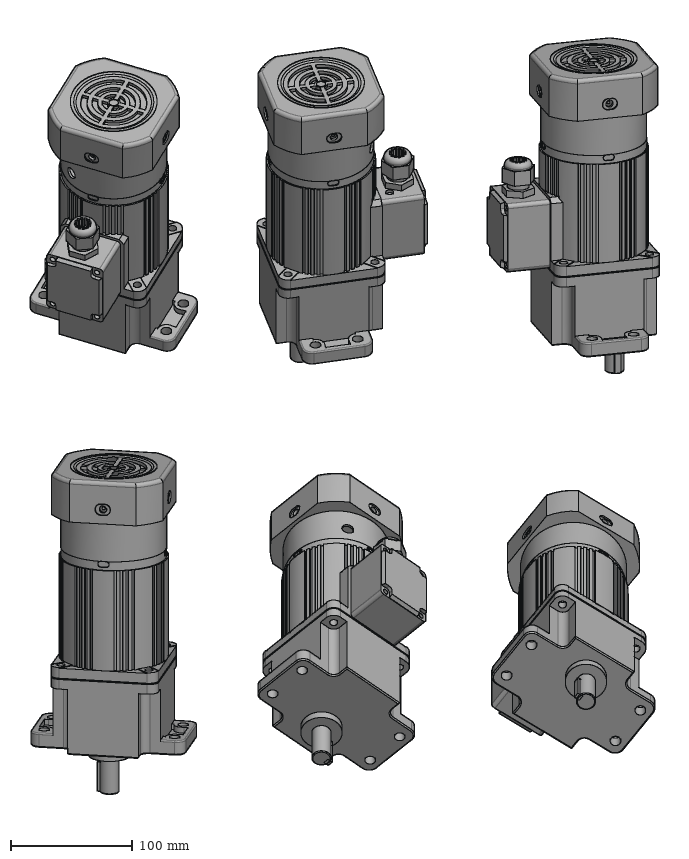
import cadquery as cq
import math


shaft_tip_z = -38.2
boss_bottom_z = -7.0
ear_top_z = 12.5
cover_bottom_z = 56.0
joint_z = 65.0
flange_top_z = 74.0
barrel_top_z = 160.0
neck_joint_z = 167.5
cap_bottom_z = 200.8
cap_top_z = 236.8

frame_half = 45.0
frame_corner_radius = 8.2
bolt_offset = 36.8
bolt_hole_radius = 3.3
joint_chamfer = 0.5
ear_edge_fillet = 1.0
mounting_face_chamfer = 1.0

notch_inner = 29.7
notch_fillet = 6.5
ear_length = 130.0
ear_corner_radius = 8.2
ear_hole_x = 54.7
ear_hole_y = 18.0
ear_hole_radius = 4.5
ear_pocket_end_x = 60.2
ear_pocket_half_width = 10.5
ear_pocket_depth = 5.0
ear_boss_radius = 7.7

shaft_y = 18.0
boss_radius = 17.0
shaft_radius = 8.0
shaft_chamfer = 0.8
shaft_seat_z = 12.5
key_width = 5.0
key_outer_x = 10.0
key_seat_x = 5.0
key_top_z = -12.5
key_bottom_z = shaft_tip_z + shaft_chamfer

neck_radius = 43.7
groove_width = 2.2
groove_depth = 1.6
groove_first_angle = 13.0
groove_pitch_angle = 6.4
grooves_per_group = 4
pad_height = 0.5
latch_width = 9.4
latch_height = 5.0
latch_depth = 1.0
box_seat_half_width = 28.3
box_seat_top_z = 128.2
box_seat_chamfer = 4.0

cap_half = 46.8
cap_corner_radius = 54.5
cap_fillet = 3.3
rim_radius = 35.8
rim_depth = 0.5
dish_top_radius = 33.0
dish_floor_radius = 31.0
dish_depth = 1.5
grille_rings = [(5.2, 9.5), (13.2, 18.0), (22.0, 27.2)]
grille_bar_width = 3.8
grille_depth = 2.8
roof_thickness = 5.5
cover_wall = 2.0
hub_radius = 3.8
hub_depth = 0.5
screw_z = 212.8
screw_recess_width = 12.6
screw_recess_height = 9.5
screw_recess_depth = 1.5
screw_bore_radius = 3.0
screw_bore_depth = 4.0
screw_hole_radius = 1.5
sight_hole_angle = 240.0
sight_hole_z = 180.0
sight_hole_radius = 5.0

box_half_width = 25.3
box_bottom_z = 66.0
box_top_z = 125.7
box_mid_z = (box_bottom_z + box_top_z) / 2
box_front_y = -81.5
overall_depth = 131.5
lid_front_y = cap_half - overall_depth
lid_thickness = box_front_y - lid_front_y
box_fillet = 3.3
lid_inset = 0.5
lid_taper = 1.6
lid_screw_x = 19.8
lid_screw_dz = 25.0
lid_screw_radius = 2.35
lid_screw_depth = 4.0
lid_notch_size = 9.5
lid_notch_radius = 3.3
drain_x = -13.2
drain_y = -55.0
drain_radius = 3.3
drain_depth = 2.8

gland_y = -65.0
gland_flats = 24.0
gland_base_top_z = 131.5
gland_neck_radius = 9.0
nut_bottom_z = 136.5
nut_top_z = 149.0
dome_top_z = 154.8
dome_radius = 11.5
dome_fillet = 4.5
gland_bore_radius = 5.2
gland_bore_depth = 8.2
gland_teeth = 12
gland_tooth_gap_radius = 0.95
gland_tooth_gap_pitch_radius = 6.0


def cylinder(radius, bottom, top, x=0, y=0):
    """Upright cylinder between two levels."""
    return cq.Workplane("XY", origin=(x, y, bottom)).circle(radius).extrude(top - bottom)


def block(x0, x1, y0, y1, z0, z1):
    """Box between two opposite corners."""
    return cq.Workplane("XY").box(x1 - x0, y1 - y0, z1 - z0, centered=False).translate((x0, y0, z0))


def frame_plate(bottom, top):
    """Square plate with rounded corners."""
    plate = cq.Workplane("XY", origin=(0, 0, bottom)).rect(2 * frame_half, 2 * frame_half)
    return plate.extrude(top - bottom).edges("|Z").fillet(frame_corner_radius)


def bolt_holes(bottom, top):
    """Cutter for the four corner bolt holes."""
    corners = cq.Workplane("XY", origin=(0, 0, bottom))
    corners = corners.rect(2 * bolt_offset, 2 * bolt_offset, forConstruction=True)
    return corners.vertices().circle(bolt_hole_radius).extrude(top - bottom)


def corner_notches():
    """Cutter for the four corners below the gearbox cover; the inner edge of each is rounded."""
    size = 2 * (frame_half - notch_inner)
    centres = [(sx * frame_half, sy * frame_half) for sx in (-1, 1) for sy in (-1, 1)]
    notches = cq.Workplane("XY").pushPoints(centres).rect(size, size).extrude(cover_bottom_z)
    return notches.edges("|Z").fillet(notch_fillet)


def ear_pocket():
    """Cutter for the shallow pocket on the +X ear; it leaves the bosses around both holes."""
    floor = ear_top_z - ear_pocket_depth
    pocket = block(frame_half, ear_pocket_end_x, -ear_hole_y, ear_hole_y, floor, ear_top_z)
    for side in (-1, 1):
        hole_y = side * ear_hole_y
        corner_y = sorted((side * ear_pocket_half_width, hole_y))
        pocket = pocket.cut(cylinder(ear_boss_radius, floor, ear_top_z, ear_hole_x, hole_y))
        pocket = pocket.cut(block(ear_hole_x, ear_pocket_end_x, *corner_y, floor, ear_top_z))
    return pocket


def make_gearbox():
    """Gearbox housing with its cover, two mounting ears and the shaft boss."""
    body = cq.Workplane("XY").rect(2 * frame_half, 2 * frame_half).extrude(cover_bottom_z)
    body = body.cut(corner_notches())
    ears = cq.Workplane("XY").rect(ear_length, 2 * notch_inner).extrude(ear_top_z)
    ears = ears.edges("|Z").fillet(ear_corner_radius)
    ears = ears.faces(">Z").edges().fillet(ear_edge_fillet)
    housing = body.union(ears)
    housing = housing.faces("<Z").edges().chamfer(mounting_face_chamfer)

    cover = frame_plate(cover_bottom_z, joint_z).faces(">Z").edges().chamfer(joint_chamfer)
    housing = housing.union(cover).cut(bolt_holes(cover_bottom_z, joint_z))

    holes = cq.Workplane("XY").rect(2 * ear_hole_x, 2 * ear_hole_y, forConstruction=True)
    housing = housing.cut(holes.vertices().circle(ear_hole_radius).extrude(ear_top_z))
    pocket = ear_pocket()
    housing = housing.cut(pocket).cut(pocket.mirror("YZ"))

    housing = housing.union(cylinder(boss_radius, boss_bottom_z, shaft_seat_z, 0, shaft_y))
    return housing.cut(cylinder(shaft_radius, boss_bottom_z, shaft_seat_z, 0, shaft_y))


def make_key():
    """Key that stands out of the shaft on its +X side."""
    half = key_width / 2
    return block(key_seat_x, key_outer_x, shaft_y - half, shaft_y + half, key_bottom_z, key_top_z)


def make_shaft(key):
    """Output shaft with the keyway cut to the shape of the key."""
    shaft = cylinder(shaft_radius, shaft_tip_z, shaft_seat_z, 0, shaft_y)
    return shaft.faces("<Z").edges().chamfer(shaft_chamfer).cut(key)


def barrel_grooves():
    """Cutter for the eight groups of upright cooling grooves, mirrored about every axis."""
    height = barrel_top_z - flange_top_z
    groove = cq.Workplane("XY").box(2 * groove_depth, groove_width, height)
    groove = groove.translate((frame_half, 0, flange_top_z + height / 2))
    grooves = cq.Workplane("XY")
    for axis_angle in range(0, 360, 90):
        for side in (-1, 1):
            for i in range(grooves_per_group):
                angle = axis_angle + side * (groove_first_angle + i * groove_pitch_angle)
                grooves.add(groove.rotate((0, 0, 0), (0, 0, 1), angle))
    return grooves


def make_motor():
    """Motor housing: square flange, grooved barrel, plain neck and the seat of the terminal box."""
    flange = frame_plate(joint_z, flange_top_z)
    flange = flange.faces("<Z").edges().chamfer(joint_chamfer)

    pad_width = math.sqrt(2) * frame_corner_radius
    pad_top_z = flange_top_z + pad_height
    for angle in (45, 135):
        band = cq.Workplane("XY").rect(4 * frame_half, pad_width).extrude(pad_top_z - joint_z - joint_chamfer)
        band = band.rotate((0, 0, 0), (0, 0, 1), angle).translate((0, 0, joint_z + joint_chamfer))
        flange = flange.union(band.intersect(frame_plate(joint_z, pad_top_z)))
    flange = flange.cut(bolt_holes(joint_z, pad_top_z))

    barrel = cylinder(frame_half, flange_top_z, barrel_top_z)
    for groove in barrel_grooves().vals():
        barrel = barrel.cut(cq.Workplane(groove))

    seat = block(-box_seat_half_width, box_seat_half_width, -frame_half, 0, flange_top_z, box_seat_top_z)
    seat = seat.edges("|Y and >Z").chamfer(box_seat_chamfer)

    neck = cylinder(neck_radius, barrel_top_z, neck_joint_z)
    latch = cq.Workplane("XZ", origin=(0, -neck_radius + latch_depth, neck_joint_z - latch_height / 2))
    latch = latch.slot2D(latch_width, latch_height).extrude(2 * latch_depth)
    for angle in range(0, 360, 90):
        neck = neck.cut(latch.rotate((0, 0, 0), (0, 0, 1), angle))

    return flange.union(barrel).union(seat).union(neck)


def grille_slots(bottom, top):
    """Cutter for the ring slots, split into quarters by two crossed bars."""
    slots = cq.Workplane("XY")
    for inner, outer in grille_rings:
        slots = slots.union(cylinder(outer, bottom, top).cut(cylinder(inner, bottom, top)))
    half_bar = grille_bar_width / 2
    slots = slots.cut(block(-rim_radius, rim_radius, -half_bar, half_bar, bottom, top))
    return slots.cut(block(-half_bar, half_bar, -rim_radius, rim_radius, bottom, top))


def screw_cutter():
    """Cutter for one pair of opposite side screws along Y, joined by a through hole."""
    hole_start = (0, cap_half, screw_z)
    cutter = cq.Workplane("XZ", origin=hole_start).circle(screw_hole_radius).extrude(2 * cap_half)
    front = cq.Workplane("XZ", origin=(0, -cap_half + screw_recess_depth, screw_z))
    recess = front.slot2D(screw_recess_width, screw_recess_height).extrude(screw_recess_depth)
    deep = cq.Workplane("XZ", origin=(0, -cap_half + screw_bore_depth, screw_z))
    recess = recess.union(deep.circle(screw_bore_radius).extrude(screw_bore_depth))
    return cutter.union(recess).union(recess.mirror("XZ"))


def make_fan_cover():
    """Fan cover: square cap with rounded corners and a grille on top of a round neck, hollow inside."""
    cap = cq.Workplane("XY", origin=(0, 0, cap_bottom_z)).rect(2 * cap_half, 2 * cap_half)
    cap = cap.extrude(cap_top_z - cap_bottom_z)
    cap = cap.intersect(cylinder(cap_corner_radius, cap_bottom_z, cap_top_z))
    cap = cap.faces(">Z").edges().fillet(cap_fillet)

    rim_z = cap_top_z - rim_depth
    floor_z = cap_top_z - dish_depth
    dish = (
        cq.Workplane("XZ")
        .moveTo(0, floor_z)
        .lineTo(dish_floor_radius, floor_z)
        .lineTo(dish_top_radius, rim_z)
        .lineTo(rim_radius, rim_z)
        .lineTo(rim_radius, cap_top_z)
        .lineTo(0, cap_top_z)
        .close()
        .revolve(360, (0, 0, 0), (0, 1, 0))
    )
    neck = cylinder(neck_radius, neck_joint_z, cap_bottom_z)
    sight_hole = cq.Workplane("YZ", origin=(0, 0, sight_hole_z)).circle(sight_hole_radius).extrude(cap_half)
    neck = neck.cut(sight_hole.rotate((0, 0, 0), (0, 0, 1), sight_hole_angle))

    roof_z = floor_z - roof_thickness
    cover = cap.union(neck).cut(dish)
    cover = cover.cut(cylinder(neck_radius - cover_wall, neck_joint_z, roof_z))
    cover = cover.cut(grille_slots(floor_z - grille_depth, floor_z))
    cover = cover.cut(cylinder(hub_radius, floor_z - hub_depth, floor_z))

    screws = screw_cutter()
    return cover.cut(screws).cut(screws.rotate((0, 0, 0), (0, 0, 1), 90))


def make_lid():
    """Raised front of the terminal box, notched at its corners to reach the screws."""
    half_height = (box_top_z - box_bottom_z) / 2
    face = cq.Workplane("XZ", origin=(0, box_front_y, box_mid_z))
    lid = face.rect(2 * (box_half_width - lid_inset), 2 * (half_height - lid_inset))
    lid = lid.extrude(lid_thickness, taper=math.degrees(math.atan2(lid_taper, lid_thickness)))
    corners = [(sx * box_half_width, sz * half_height) for sx in (-1, 1) for sz in (-1, 1)]
    notches = face.pushPoints(corners).rect(2 * lid_notch_size, 2 * lid_notch_size).extrude(lid_thickness)
    return lid.cut(notches.edges("|Y").fillet(lid_notch_radius))


def make_terminal_box():
    """Terminal box on the front of the motor."""
    box = block(-box_half_width, box_half_width, box_front_y, -frame_half, box_bottom_z, box_top_z)
    box = box.edges("|Y").fillet(box_fillet)
    screws = cq.Workplane("XZ", origin=(0, box_front_y + lid_screw_depth, box_mid_z))
    screws = screws.rect(2 * lid_screw_x, 2 * lid_screw_dz, forConstruction=True).vertices()
    box = box.cut(screws.circle(lid_screw_radius).extrude(lid_screw_depth))
    box = box.union(make_lid())
    return box.cut(cylinder(drain_radius, box_top_z - drain_depth, box_top_z, drain_x, drain_y))


def hexagon(bottom, top):
    """Upright hexagon on the gland axis with corners on +/-X."""
    across_corners = gland_flats / math.cos(math.pi / 6)
    return cq.Workplane("XY", origin=(0, gland_y, bottom)).polygon(6, across_corners).extrude(top - bottom)


def make_gland():
    """Cable gland: hexagon base, neck, nut turned by 30 degrees and a domed top with a toothed bore."""
    axis = ((0, gland_y, 0), (0, gland_y, 1))
    dome = cylinder(dome_radius, nut_top_z, dome_top_z, 0, gland_y).faces(">Z").edges().fillet(dome_fillet)
    gland = hexagon(box_top_z, gland_base_top_z)
    gland = gland.union(cylinder(gland_neck_radius, gland_base_top_z, nut_bottom_z, 0, gland_y))
    gland = gland.union(hexagon(nut_bottom_z, nut_top_z).rotate(*axis, 30))
    gland = gland.union(dome)

    bore_floor_z = dome_top_z - gland_bore_depth
    bore = cylinder(gland_bore_radius, bore_floor_z, dome_top_z, 0, gland_y)
    gaps = cq.Workplane("XY", origin=(0, gland_y, bore_floor_z))
    gaps = gaps.polarArray(gland_tooth_gap_pitch_radius, 0, 360, gland_teeth)
    return gland.cut(bore).cut(gaps.circle(gland_tooth_gap_radius).extrude(gland_bore_depth))


gearbox = make_gearbox()
key = make_key()
shaft = make_shaft(key)
motor = make_motor()
fan_cover = make_fan_cover()
terminal_box = make_terminal_box()
gland = make_gland()

result = cq.Compound.makeCompound(
    [
        gearbox.val(),
        shaft.val(),
        key.val(),
        motor.val(),
        fan_cover.val(),
        terminal_box.val(),
        gland.val(),
    ]
)